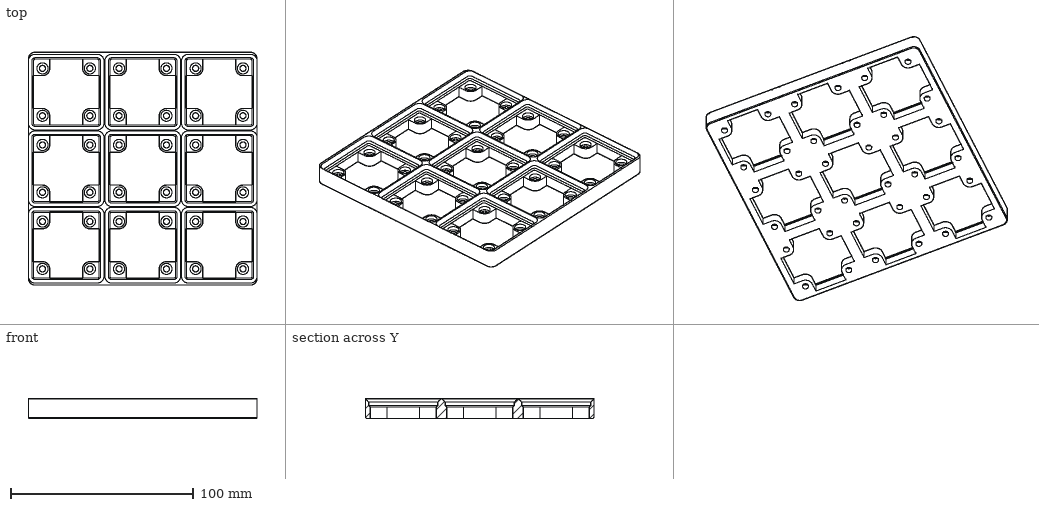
import cadquery as cq

PITCH = 42.0
CELLS = 3
SIDE_MARGIN_Y = 1.2
HEIGHT = 10.9
OUTER_RADIUS = 3.75
BASE_CHAMFER = 0.5

RIB_CREST = 0.5
LOWER_BEVEL = 0.8
STRAIGHT = 1.8
UPPER_BEVEL = 1.9
RIM_SIZE = PITCH - RIB_CREST
RIM_RADIUS = OUTER_RADIUS
NECK_SIZE = RIM_SIZE - 2 * UPPER_BEVEL
NECK_RADIUS = RIM_RADIUS - UPPER_BEVEL
FLOOR_SIZE = NECK_SIZE - 2 * LOWER_BEVEL
FLOOR_RADIUS = NECK_RADIUS - LOWER_BEVEL
FLOOR_Z = HEIGHT - (LOWER_BEVEL + STRAIGHT + UPPER_BEVEL)
NECK_Z = FLOOR_Z + LOWER_BEVEL
BEVEL_Z = NECK_Z + STRAIGHT

SIZE_X = CELLS * PITCH - RIB_CREST
SIZE_Y = SIZE_X + 2 * SIDE_MARGIN_Y

HOLE_SPACING = 26.0
MAGNET_DIAMETER = 6.08
MAGNET_DEPTH = 2.1
MAGNET_WALL = 1.0
SCREW_DIAMETER = 3.2
PAD_RADIUS = MAGNET_DIAMETER / 2 + MAGNET_WALL
PAD_INNER_EDGE = HOLE_SPACING / 2 - PAD_RADIUS
PAD_SIZE = FLOOR_SIZE / 2 - PAD_INNER_EDGE
PAD_CENTER = PAD_INNER_EDGE + PAD_SIZE / 2


def rounded_square(size, radius):
    """Sketch of a square with rounded corners."""
    return cq.Sketch().rect(size, size).vertices().fillet(radius)


def make_slab():
    """Solid block with rounded corners and a bevelled bottom edge."""
    slab = cq.Workplane("XY").box(SIZE_X, SIZE_Y, HEIGHT, centered=(True, True, False))
    return slab.edges("|Z").fillet(OUTER_RADIUS).faces("<Z").chamfer(BASE_CHAMFER)


def straight_section(size, radius, bottom, height):
    """Upright stretch of the socket."""
    base = cq.Workplane("XY").workplane(offset=bottom)
    return base.placeSketch(rounded_square(size, radius)).extrude(height)


def bevel_section(size, radius, bottom, height):
    """45 degree stretch of the socket, widening upwards from the given size."""
    lower = rounded_square(size, radius)
    upper = rounded_square(size + 2 * height, radius + height)
    raised = upper.moved(cq.Location(cq.Vector(0, 0, height)))
    return cq.Workplane("XY").workplane(offset=bottom).placeSketch(lower, raised).loft()


def make_socket():
    """Cavity of the stepped socket above the cell floor."""
    lower = bevel_section(FLOOR_SIZE, FLOOR_RADIUS, FLOOR_Z, LOWER_BEVEL)
    middle = straight_section(NECK_SIZE, NECK_RADIUS, NECK_Z, STRAIGHT)
    upper = bevel_section(NECK_SIZE, NECK_RADIUS, BEVEL_Z, UPPER_BEVEL)
    return lower.union(middle).union(upper)


def make_pad(side_x, side_y):
    """Corner pad, rounded at the corner that faces the cell center."""
    pad = cq.Workplane("XY").center(side_x * PAD_CENTER, side_y * PAD_CENTER)
    pad = pad.rect(PAD_SIZE, PAD_SIZE).extrude(FLOOR_Z)
    inner_x = "<X" if side_x > 0 else ">X"
    inner_y = "<Y" if side_y > 0 else ">Y"
    return pad.edges(f"|Z and {inner_x} and {inner_y}").fillet(PAD_RADIUS)


def make_opening():
    """Cross-shaped through opening that leaves a pad in each corner."""
    opening = cq.Workplane("XY").rect(FLOOR_SIZE, FLOOR_SIZE).extrude(FLOOR_Z)
    for side_x in (-1, 1):
        for side_y in (-1, 1):
            opening = opening.cut(make_pad(side_x, side_y))
    return opening


def pad_cylinders(diameter, bottom):
    """One cylinder per pad, from the given level up to the cell floor."""
    base = cq.Workplane("XY").workplane(offset=bottom)
    spots = base.rect(HOLE_SPACING, HOLE_SPACING, forConstruction=True).vertices()
    return spots.circle(diameter / 2).extrude(FLOOR_Z - bottom)


def make_holes():
    """Through screw holes and magnet seats of one cell."""
    screws = pad_cylinders(SCREW_DIAMETER, 0)
    seats = pad_cylinders(MAGNET_DIAMETER, FLOOR_Z - MAGNET_DEPTH)
    return screws.union(seats)


cell_cavities = [make_socket(), make_opening(), make_holes()]
first_center = -PITCH * (CELLS - 1) / 2

result = make_slab()
for column in range(CELLS):
    for row in range(CELLS):
        cell_center = (first_center + column * PITCH, first_center + row * PITCH, 0)
        for cavity in cell_cavities:
            result = result.cut(cavity.translate(cell_center))